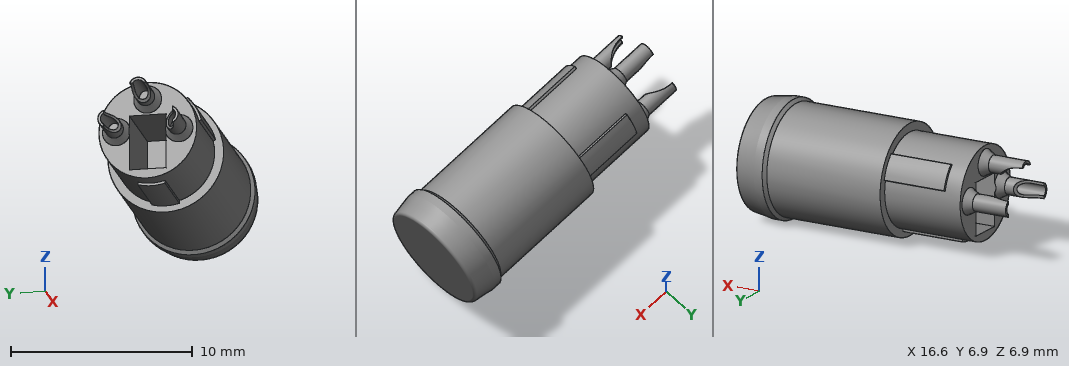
import cadquery as cq
import math

total_length = 16.6
cone_start = 2.1
body_start = 2.6
pad_start = 3.6
barrel_start = 7.4
collar_start = 14.6
rim_start = 14.79
taper_start = 15.3
nose_round = 0.2

body_diameter = 5.5
barrel_diameter = 6.5
rim_diameter = 6.9
nose_diameter = 6.54

pad_count = 3
pad_width = 1.53
pad_diameter = 5.8
first_pad_angle = 30.0

pocket_width = 2.06
pocket_top = 0.88
pocket_bottom = -2.22
pocket_end = barrel_start

pin_diameter = 1.0
cone_diameter = 1.56
cup_diameter = 0.7
cup_depth = cone_start
pin_offset = 1.76
pin_angles = (0.0, 90.0, -90.0)
lip_height = 0.32
scoop_flat = 0.1
scoop_end = 1.55


def make_shell():
    """Turned body: rear cylinder, barrel, and rim with a tapered, rounded nose."""
    nose_radius = nose_diameter / 2
    round_start = total_length - nose_round
    round_middle = nose_round * math.sqrt(0.5)
    return (
        cq.Workplane("XY")
        .moveTo(body_start, 0)
        .lineTo(body_start, body_diameter / 2)
        .lineTo(barrel_start, body_diameter / 2)
        .lineTo(barrel_start, barrel_diameter / 2)
        .lineTo(collar_start, barrel_diameter / 2)
        .lineTo(rim_start, rim_diameter / 2)
        .lineTo(taper_start, rim_diameter / 2)
        .lineTo(round_start, nose_radius)
        .threePointArc(
            (round_start + round_middle, nose_radius - nose_round + round_middle),
            (total_length, nose_radius - nose_round),
        )
        .lineTo(total_length, 0)
        .close()
        .revolve(360, (0, 0, 0), (1, 0, 0))
    )


def make_pad(angle):
    """Parallel-sided pad with a cylindrical face, turned about X from the +Y direction."""
    pad_radius = pad_diameter / 2
    pad_length = barrel_start - pad_start
    strip = cq.Workplane("XY").box(pad_length, pad_radius, pad_width, centered=(False, False, True))
    face_cylinder = cq.Workplane("YZ").circle(pad_radius).extrude(pad_length)
    return (
        strip.intersect(face_cylinder)
        .translate((pad_start, 0, 0))
        .rotate((0, 0, 0), (1, 0, 0), angle)
    )


def make_pocket():
    """Blind pocket cutter, begun at the pin cones so that it also trims the side pins' feet."""
    cut_length = pocket_end - cone_start
    return (
        cq.Workplane("XY")
        .box(cut_length, pocket_width, pocket_top - pocket_bottom, centered=(False, True, False))
        .translate((cone_start, 0, pocket_bottom))
    )


def make_pin(angle):
    """Pin with a conical foot and a scooped cup, turned about X from the +Z direction."""
    pin_radius = pin_diameter / 2
    pin = (
        cq.Workplane("XY")
        .lineTo(0, pin_radius)
        .lineTo(cone_start, pin_radius)
        .lineTo(body_start, cone_diameter / 2)
        .lineTo(body_start, 0)
        .close()
        .revolve(360, (0, 0, 0), (1, 0, 0))
    )
    cup = cq.Workplane("YZ").circle(cup_diameter / 2).extrude(cup_depth)

    lip_level = pin_radius - lip_height
    run = scoop_end - scoop_flat
    drop = lip_level + pin_radius
    arc_radius = (run**2 + drop**2) / (2 * drop)
    half_sweep = math.asin(run / arc_radius) / 2
    arc_middle = (
        scoop_flat + arc_radius * math.sin(half_sweep),
        lip_level - arc_radius * (1 - math.cos(half_sweep)),
    )
    scoop = (
        cq.Workplane("XZ")
        .moveTo(0, -pin_radius)
        .lineTo(0, lip_level)
        .lineTo(scoop_flat, lip_level)
        .threePointArc(arc_middle, (scoop_end, -pin_radius))
        .close()
        .extrude(pin_radius, both=True)
    )
    return (
        pin.cut(cup)
        .cut(scoop)
        .translate((0, 0, pin_offset))
        .rotate((0, 0, 0), (1, 0, 0), angle)
    )


result = make_shell()
for pad_index in range(pad_count):
    result = result.union(make_pad(first_pad_angle + pad_index * 360 / pad_count))
for pin_angle in pin_angles:
    result = result.union(make_pin(pin_angle))
result = result.cut(make_pocket())